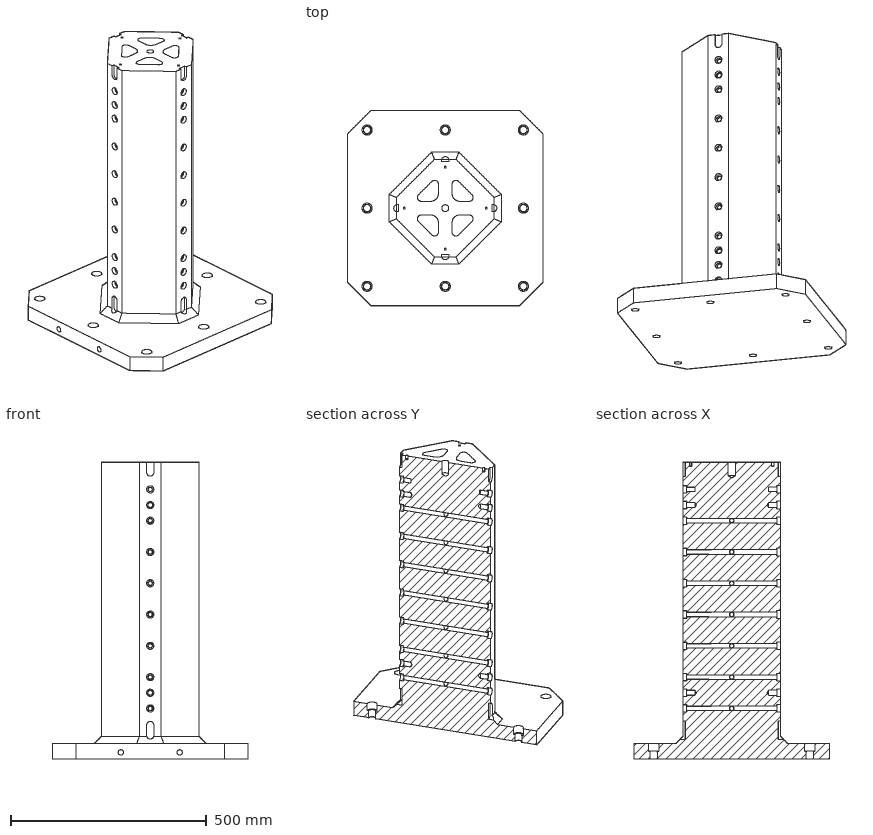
import cadquery as cq
import math

plate_side = 500.0
plate_thickness = 40.0
plate_corner = 60.0
mount_pitch = 200.0
mount_diameter = 18.0
mount_counterbore = 26.0
mount_counterbore_depth = 20.0
edge_hole_x = 75.0
edge_hole_z = 17.5
edge_hole_diameter = 14.0
edge_hole_depth = 30.0

total_height = 760.0
column_width = 250.0
narrow_face = 55.0
foot_spread = 18.0

slot_width = 18.0
slot_depth = 6.0
top_slot_length = 36.0
bottom_slot_low = 52.0
bottom_slot_high = 96.5
row_low = 130.0
row_high = 690.0
row_spaces = 7
row_pitch = (row_high - row_low) / row_spaces
through_steps = (0, 1, 2, 3, 4, 5, 6)
drilled_steps = (0.5, 6.5)
flat_steps = (7,)
row_counterbore = 18.0
row_counterbore_depth = 10.0
through_diameter = 11.0
drilled_diameter = 12.0
drilled_depth = 30.5
flat_diameter = 11.0
flat_depth = 30.5

lift_hole_diameter = 17.5
lift_hole_depth = 35.0
pin_hole_diameter = 5.0
pin_hole_offset = 105.0
pin_hole_depth = 10.0
pocket_rib = 35.0
pocket_reach = 102.5
pocket_inner_radius = 20.0
pocket_outer_radius = 10.0
pocket_floor = plate_thickness
pocket_floor_fillet = 15.0

drill_half_angle = math.radians(59)
quarter_turns = (0, 90, 180, 270)


def turned(shape, angle):
    """Turn a shape about the column axis."""
    return shape.rotate((0, 0, 0), (0, 0, 1), angle)


def octagon(width, face, z):
    """Octagon across flats `width`, with its X and Y sides `face` long."""
    a = width / 2
    b = face / 2
    points = [(a, -b), (a, b), (b, a), (-b, a), (-a, b), (-a, -b), (-b, -a), (b, -a)]
    return cq.Workplane("XY").workplane(offset=z).polyline(points).close()


def front_cylinder(diameter, depth, face_y, z):
    """Cylinder running from a front face at y = -face_y into the part."""
    plane = cq.Plane(origin=(0, -face_y, z), xDir=(1, 0, 0), normal=(0, 1, 0))
    return cq.Workplane(plane).circle(diameter / 2).extrude(depth)


def drilled(diameter, depth):
    """Blind hole with a drill point, opening at the origin and running down -Z."""
    radius = diameter / 2
    tip = depth + radius / math.tan(drill_half_angle)
    profile = cq.Workplane("XZ").polyline([(0, 0), (radius, 0), (radius, -depth), (0, -tip)])
    return profile.close().revolve(360, (0, 0, 0), (0, 1, 0))


def front_drilled(diameter, depth, face_y, x, z):
    """Drill-point hole running from a front face at y = -face_y into the part."""
    hole = drilled(diameter, depth).rotate((0, 0, 0), (1, 0, 0), 90)
    return hole.translate((x, -face_y, z))


def make_body():
    """Plate and column, joined by a foot that flares at 45 degrees."""
    plate = cq.Workplane("XY").rect(plate_side, plate_side).extrude(plate_thickness)
    plate = plate.edges("|Z").chamfer(plate_corner)
    column = octagon(column_width, narrow_face, 0).extrude(total_height)
    foot_face = narrow_face + 2 * foot_spread * math.tan(math.pi / 8)
    foot = octagon(column_width + 2 * foot_spread, foot_face, plate_thickness)
    foot = foot.extrude(foot_spread, taper=45)
    return plate.union(column).union(foot)


def mount_hole_cutter():
    """Counterbored through holes around the plate, at its corners and side middles."""
    steps = (-mount_pitch, 0, mount_pitch)
    places = [(x, y) for x in steps for y in steps if (x, y) != (0, 0)]
    holes = cq.Workplane("XY").pushPoints(places).circle(mount_diameter / 2).extrude(plate_thickness)
    floor = plate_thickness - mount_counterbore_depth
    counterbores = cq.Workplane("XY").workplane(offset=floor).pushPoints(places)
    return holes.union(counterbores.circle(mount_counterbore / 2).extrude(mount_counterbore_depth))


def edge_hole_cutter():
    """Pair of drilled holes in the front edge of the plate."""
    left = front_drilled(edge_hole_diameter, edge_hole_depth, plate_side / 2, -edge_hole_x, edge_hole_z)
    return left.union(left.mirror("YZ"))


def slot_cutter():
    """Top and bottom keyway slots of the front narrow face."""
    floor_y = -(column_width / 2 - slot_depth)
    outward = cq.Plane(origin=(0, floor_y, 0), xDir=(1, 0, 0), normal=(0, -1, 0))
    reach = slot_depth + foot_spread
    length = bottom_slot_high - bottom_slot_low
    middle = (bottom_slot_high + bottom_slot_low) / 2
    bottom = cq.Workplane(outward).center(0, middle).slot2D(length, slot_width, 90)
    top = cq.Workplane(outward).center(0, total_height).slot2D(2 * top_slot_length, slot_width, 90)
    return bottom.extrude(reach).union(top.extrude(reach))


def row_hole_cutter():
    """Row of counterbored holes up the front narrow face; the through holes reach the axis."""
    face_y = column_width / 2
    cutter = cq.Workplane("XY")
    for step in through_steps + drilled_steps + flat_steps:
        z = row_low + step * row_pitch
        cutter = cutter.union(front_cylinder(row_counterbore, row_counterbore_depth, face_y, z))
        if step in through_steps:
            bore = front_cylinder(through_diameter, face_y + through_diameter, face_y, z)
        elif step in drilled_steps:
            bore = front_drilled(drilled_diameter, drilled_depth, face_y, 0, z)
        else:
            bore = front_cylinder(flat_diameter, flat_depth, face_y, z)
        cutter = cutter.union(bore)
    return cutter


def pin_hole_cutter():
    """Small hole in the column top, beside the front narrow face."""
    return drilled(pin_hole_diameter, pin_hole_depth).translate((0, -pin_hole_offset, total_height))


def pocket_cutter():
    """Triangular pocket in one quadrant, its floor rounded into the outer wall."""
    near = pocket_rib / 2
    far = pocket_reach - near
    triangle = cq.Workplane("XY").workplane(offset=pocket_floor)
    triangle = triangle.polyline([(near, near), (far, near), (near, far)]).close()
    triangle = triangle.extrude(total_height - pocket_floor)
    pocket = triangle.faces("<Z").edges(">(1, 1, 0)").fillet(pocket_floor_fillet)
    pocket = pocket.edges("|Z").edges("<(1, 1, 0)").fillet(pocket_inner_radius)
    rounded = triangle.edges("|Z").edges(">(1, 1, 0)").fillet(pocket_outer_radius)
    return pocket.intersect(rounded)


def lift_hole_cutter():
    """Drilled hole in the middle of the column top."""
    return drilled(lift_hole_diameter, lift_hole_depth).translate((0, 0, total_height))


result = make_body().cut(mount_hole_cutter()).cut(edge_hole_cutter()).cut(lift_hole_cutter())
face_cutters = (slot_cutter(), row_hole_cutter(), pin_hole_cutter(), pocket_cutter())
for cutter in face_cutters:
    for angle in quarter_turns:
        result = result.cut(turned(cutter, angle))